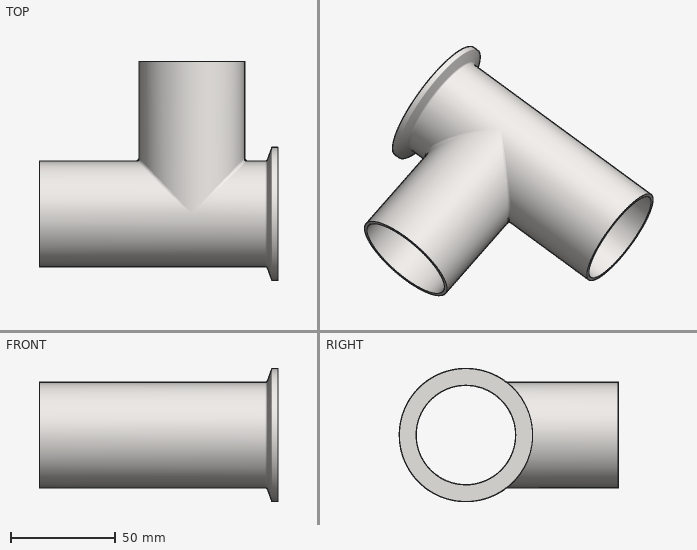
import cadquery as cq
import math

tube_diameter = 50.7
bore_diameter = 47.5
tube_radius = tube_diameter / 2
bore_radius = bore_diameter / 2

flange_diameter = 63.9
flange_radius = flange_diameter / 2
flange_rim_thickness = 3.0
flange_back_angle = 20.0
flange_edge_radius = 0.3
flange_root_radius = 0.9

overall_length = 114.3
overall_width = 104.9
branch_length = overall_width - flange_radius
run_start = -branch_length
run_end = run_start + overall_length

rim_back = run_end - flange_rim_thickness
cone_depth = (flange_radius - tube_radius) * math.tan(math.radians(flange_back_angle))
cone_start = rim_back - cone_depth

junction_radius = 1.4

selection_margin = 0.01


def run_cylinder(radius):
    return cq.Workplane("YZ", origin=(run_start, 0, 0)).circle(radius).extrude(overall_length)


def branch_cylinder(radius):
    return cq.Workplane("XZ").circle(radius).extrude(-branch_length)


def circles_between(first_x, last_x):
    """Select circular edges on the run axis, by the X of their centres."""
    return cq.selectors.BoxSelector(
        (first_x - selection_margin, -selection_margin, -selection_margin),
        (last_x + selection_margin, selection_margin, selection_margin),
    )


def flanged_run():
    """Solid run with the conical-backed flange, revolved about the X axis."""
    run = (
        cq.Workplane("XY")
        .moveTo(run_start, 0)
        .lineTo(run_start, tube_radius)
        .lineTo(cone_start, tube_radius)
        .lineTo(rim_back, flange_radius)
        .lineTo(run_end, flange_radius)
        .lineTo(run_end, 0)
        .close()
        .revolve(360, (0, 0, 0), (1, 0, 0))
    )
    run = run.edges(circles_between(cone_start, cone_start)).fillet(flange_root_radius)
    return run.edges(circles_between(rim_back, run_end)).fillet(flange_edge_radius)


def junction_half():
    """Solid +X, +Y part of the junction, with its inside corner rounded.

    The two tubes are equal, so the rounding narrows to nothing at top and bottom.
    Working on one half keeps the two corner edges clear of those on the other side.
    """
    half_block = cq.Workplane("XY").box(
        cone_start - flange_root_radius, branch_length, tube_diameter, centered=(False, False, True)
    )
    half = run_cylinder(tube_radius).union(branch_cylinder(tube_radius)).intersect(half_block)
    corner_reach = tube_radius + selection_margin
    corner_edges = cq.selectors.BoxSelector(
        (selection_margin, selection_margin, -corner_reach),
        (corner_reach, corner_reach, corner_reach),
    )
    return half.edges(corner_edges).fillet(junction_radius)


plus_x_half = junction_half()
tee = flanged_run().union(plus_x_half).union(plus_x_half.mirror("YZ"))

result = tee.cut(run_cylinder(bore_radius)).cut(branch_cylinder(bore_radius))